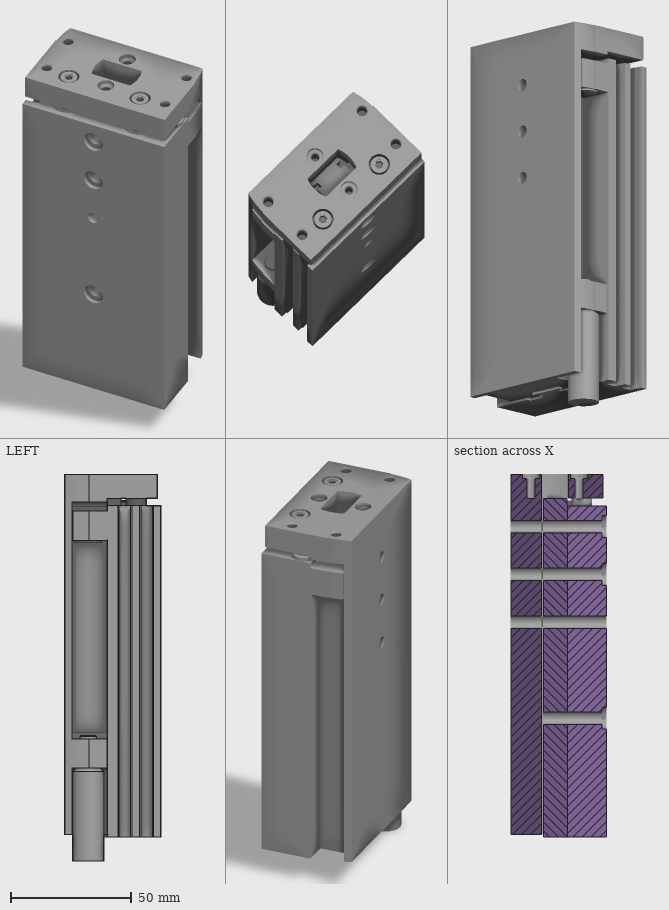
import cadquery as cq
import math

total_height = 160.8
depth = 40.0

housing_half_width = 33.0
housing_bottom = 10.0
housing_top = 147.8
housing_back = 22.2

table_half_width = 32.5
table_bottom = 11.0
table_front = 22.4
back_plate_inner = 37.0
end_plate_front = 1.5
end_plate_underside = total_height - 10.0
step_underside = total_height - 11.5
shoulder_start = 29.9
shoulder_step = 0.3
shoulder_inset = 1.5
shoulder_radius = 38.6

left_wall = -17.5
right_wall = 24.5
pocket_fillet = 2.0
damper_block_fillet = 2.5
stop_block_top = 145.5
stop_block_bottom = 133.3
stop_block_back = 36.5
stop_block_clearance = 1.0
stop_block_corner = 1.0
damper_block_top = 50.8
damper_block_bottom = 38.6

rail_half_width = 7.7
rail_front = 16.5
rail_back = 26.4
rail_groove_front = 22.2
rail_groove_back = 24.6
rail_groove_depth = 2.3
rail_top = end_plate_underside
leg_front = 20.7
leg_half_width = 14.5
leg_clearance = 0.5
leg_top = stop_block_top

window_center = 21.5
window_height = 11.0
window_half_width = 10.0
window_end_radius = 16.0
window_corner_fillet = 0.6

groove_centers = (6.0, 15.0)
groove_mouth_width = 5.8
groove_mouth_depth = 2.5
groove_inner_width = 4.8
groove_depth = 5.8
rib_setback = 0.6

mount_diameter = 5.0
mount_bore_diameter = 8.8
mount_bore_depth = 2.0
mount_pitch = 20.0
first_mount_height = 139.1
bored_mounts = (0, 1, 4)
plain_mounts = (2,)
table_mounts = (0, 1, 2)

corner_hole_x = 27.5
plate_hole_front = 11.6
plate_hole_back = 31.5
corner_hole_diameter = 4.2
corner_mouth_diameter = 5.0
corner_hole_depth = 8.0
center_bore_diameter = 7.0
center_bore_depth = 1.6
center_mouth_diameter = 4.2
center_hole_diameter = 3.2

rod_x = 16.5
rod_y = 10.3
rod_diameter = 8.5
rod_depth = 48.3
rod_gland_diameter = 16.0
rod_gland_depth = 1.3
rod_neck_diameter = 5.0
rod_head_diameter = 7.0
rod_head_height = 5.0
rod_head_recess = 0.3
rod_bore_diameter = 8.8
rod_socket_mouth_diameter = 4.2
rod_socket_mouth_depth = 0.3
rod_socket_width = 3.0
rod_socket_depth = 2.5

damper_x = -26.2
damper_y = 30.2
damper_diameter = 13.0
damper_chamfer = 1.3
damper_thread_diameter = 8.0
damper_tip_diameter = 6.8
damper_tip_height = 1.5
damper_tip_chamfer = 0.4

bumper_x = 27.8
bumper_y = 17.2
bumper_diameter = 10.0
bumper_height = 2.1
bumper_chamfer = 0.5
stop_pad_diameter = 11.3
stop_pad_height = 0.6


def box(x_range, y_range, z_range):
    (x0, x1), (y0, y1), (z0, z1) = x_range, y_range, z_range
    return cq.Workplane("XY").box(x1 - x0, y1 - y0, z1 - z0, centered=False).translate((x0, y0, z0))


def upright(x, y, diameter, bottom, top):
    """Cylinder along Z."""
    return cq.Workplane("XY", origin=(x, y, bottom)).circle(diameter / 2).extrude(top - bottom)


def crosswise(height, diameter, front, back):
    """Cylinder along Y in the middle plane."""
    plane = cq.Workplane("XZ", origin=(0, front, height))
    return plane.circle(diameter / 2).extrude(front - back)


def mount_height(index):
    return first_mount_height - index * mount_pitch


def shouldered_prism(half_width, front, bottom, top):
    """Prism whose sides step in at the shoulder line and curve further in to the back face."""
    chord = math.hypot(shoulder_inset, depth - shoulder_start)
    bulge = shoulder_radius - math.sqrt(shoulder_radius**2 - (chord / 2) ** 2)
    shoulder_x = half_width - shoulder_step
    back_x = shoulder_x - shoulder_inset
    middle_x = shoulder_x - shoulder_inset / 2 + bulge * (depth - shoulder_start) / chord
    middle_y = (shoulder_start + depth) / 2 + bulge * shoulder_inset / chord
    return (
        cq.Workplane("XY", origin=(0, 0, bottom))
        .moveTo(-half_width, front)
        .lineTo(half_width, front)
        .lineTo(half_width, shoulder_start)
        .lineTo(shoulder_x, shoulder_start)
        .threePointArc((middle_x, middle_y), (back_x, depth))
        .lineTo(-back_x, depth)
        .threePointArc((-middle_x, middle_y), (-shoulder_x, shoulder_start))
        .lineTo(-half_width, shoulder_start)
        .close()
        .extrude(top - bottom)
    )


def rail_prism(front, back, bottom, top):
    """T-grooved rail section, with the grooves on both sides."""
    waist = rail_half_width - rail_groove_depth
    half = [
        (rail_half_width, front),
        (rail_half_width, rail_groove_front),
        (waist, rail_groove_front),
        (waist, rail_groove_back),
        (rail_half_width, rail_groove_back),
        (rail_half_width, back),
    ]
    mirrored = [(-x, y) for x, y in reversed(half)]
    return cq.Workplane("XY", origin=(0, 0, bottom)).polyline(half + mirrored).close().extrude(top - bottom)


def side_pocket(wall, outside, bottom, top):
    """Pocket cutter between a wall and the outside, rounded where the wall meets the pocket's top."""
    x_range = (min(wall, outside), max(wall, outside))
    pocket = box(x_range, (table_front - 1.6, back_plate_inner), (bottom, top))
    wall_side = ">X" if wall > outside else "<X"
    return pocket.faces(wall_side).edges(">Z").fillet(pocket_fillet)


def end_window(bottom, top):
    """Window with straight long sides and bulging arc ends."""
    half_height = window_height / 2
    arc_inset = window_end_radius - math.sqrt(window_end_radius**2 - half_height**2)
    corner_x = window_half_width - arc_inset
    return (
        cq.Workplane("XY", origin=(0, window_center, bottom))
        .moveTo(-corner_x, -half_height)
        .lineTo(corner_x, -half_height)
        .threePointArc((window_half_width, 0), (corner_x, half_height))
        .lineTo(-corner_x, half_height)
        .threePointArc((-window_half_width, 0), (-corner_x, -half_height))
        .close()
        .extrude(top - bottom)
        .edges("|Z")
        .fillet(window_corner_fillet)
    )


def mouthed_hole(x, y, diameter, mouth_diameter, bottom, top):
    """Vertical hole whose mouth is chamfered out to a larger diameter."""
    chamfer = (mouth_diameter - diameter) / 2
    hole = upright(x, y, diameter, bottom, top)
    mouth = upright(x, y, mouth_diameter, top - chamfer, top).faces("<Z").chamfer(chamfer * 0.99)
    return hole.union(mouth)


def side_slot(center_y, width, slot_depth):
    """Slot cutter along the full height of the housing's -X face."""
    x_range = (-housing_half_width, -housing_half_width + slot_depth)
    y_range = (center_y - width / 2, center_y + width / 2)
    return box(x_range, y_range, (housing_bottom, housing_top))


def make_housing():
    z_range = (housing_bottom, housing_top)
    body = box((-housing_half_width, housing_half_width), (0, housing_back), z_range)

    block_z = (stop_block_bottom, stop_block_top)
    full_x = (-housing_half_width, housing_half_width)
    middle_x = (left_wall - stop_block_clearance, right_wall + stop_block_clearance)
    blocks = shouldered_prism(housing_half_width, housing_back, *block_z)
    blocks = blocks.cut(box(full_x, (stop_block_back, depth), block_z))
    blocks = blocks.cut(box(middle_x, (housing_back, depth), block_z))
    body = body.union(blocks)
    reach = stop_block_corner / 2
    inner_corners = cq.selectors.BoxSelector(
        (-housing_half_width, housing_back - reach, stop_block_top - reach),
        (housing_half_width, housing_back + reach, stop_block_top + reach),
    )
    body = body.edges(inner_corners).fillet(stop_block_corner)

    body = body.union(
        upright(damper_x, damper_y, stop_pad_diameter, stop_block_bottom - stop_pad_height, stop_block_bottom)
    )
    bumper = upright(bumper_x, bumper_y, bumper_diameter, housing_top, housing_top + bumper_height)
    body = body.union(bumper.faces(">Z").chamfer(bumper_chamfer))

    body = body.cut(box((-rail_half_width, rail_half_width), (rail_front, housing_back), z_range))
    channel_half = leg_half_width + leg_clearance
    body = body.cut(box((-channel_half, channel_half), (leg_front - leg_clearance, housing_back), z_range))

    front_groove, back_groove = groove_centers
    for center_y in groove_centers:
        body = body.cut(side_slot(center_y, groove_mouth_width, groove_mouth_depth))
        body = body.cut(side_slot(center_y, groove_inner_width, groove_depth))
    rib_center = (front_groove + back_groove) / 2
    body = body.cut(side_slot(rib_center, back_groove - front_groove, rib_setback))

    for index in bored_mounts + plain_mounts:
        body = body.cut(crosswise(mount_height(index), mount_diameter, 0, depth / 2))
    for index in bored_mounts:
        body = body.cut(crosswise(mount_height(index), mount_bore_diameter, 0, mount_bore_depth))

    for x in (-rod_x, rod_x):
        body = body.cut(upright(x, rod_y, rod_diameter, housing_top - rod_depth, housing_top))
        body = body.cut(upright(x, rod_y, rod_gland_diameter, housing_top - rod_gland_depth, housing_top))
    return body


def make_rail():
    rail = rail_prism(rail_front, rail_back, housing_bottom, rail_top)
    for index in bored_mounts + plain_mounts:
        rail = rail.cut(crosswise(mount_height(index), mount_diameter, rail_front, rail_back))
    return rail


def make_table():
    table = shouldered_prism(table_half_width, end_plate_front, table_bottom, total_height)
    full_x = (-housing_half_width, housing_half_width)

    table = table.cut(box(full_x, (0, table_front), (0, end_plate_underside)))
    table = table.union(
        box((-leg_half_width, leg_half_width), (leg_front, table_front), (table_bottom, leg_top))
    )

    outside = housing_half_width + 1.6
    upper_pocket = side_pocket(left_wall, -outside, damper_block_top, step_underside)
    table = table.cut(upper_pocket.faces(">X").edges("<Z").fillet(damper_block_fillet))
    table = table.cut(side_pocket(left_wall, -outside, 0, damper_block_bottom))
    table = table.cut(side_pocket(right_wall, outside, 0, step_underside))

    window_back = window_center + window_height / 2
    table = table.cut(rail_prism(0, window_back, 0, leg_top))
    table = table.cut(end_window(leg_top, total_height))

    for y in (plate_hole_front, plate_hole_back):
        for x in (-corner_hole_x, corner_hole_x):
            hole_floor = total_height - corner_hole_depth
            table = table.cut(
                mouthed_hole(x, y, corner_hole_diameter, corner_mouth_diameter, hole_floor, total_height)
            )
        bore_floor = total_height - center_bore_depth
        table = table.cut(upright(0, y, center_bore_diameter, bore_floor, total_height))
        table = table.cut(
            mouthed_hole(0, y, center_hole_diameter, center_mouth_diameter, end_plate_underside, bore_floor)
        )

    for x in (-rod_x, rod_x):
        table = table.cut(upright(x, rod_y, rod_neck_diameter, end_plate_underside, total_height))
        seat = total_height - rod_head_recess - rod_head_height
        table = table.cut(upright(x, rod_y, rod_bore_diameter, seat, total_height))

    for index in table_mounts:
        table = table.cut(crosswise(mount_height(index), mount_diameter, leg_front, depth))

    table = table.cut(upright(damper_x, damper_y, damper_diameter, 0, damper_block_bottom))
    table = table.cut(
        upright(damper_x, damper_y, damper_thread_diameter, damper_block_bottom, damper_block_top)
    )
    return table


def make_rod(x):
    """Piston rod with a neck through the end plate and a socket head in the plate's counterbore."""
    head_top = total_height - rod_head_recess
    head_bottom = head_top - rod_head_height
    shaft = upright(x, rod_y, rod_diameter, housing_top - rod_depth, end_plate_underside)
    neck = upright(x, rod_y, rod_neck_diameter, end_plate_underside, head_bottom)
    head = upright(x, rod_y, rod_head_diameter, head_bottom, head_top)
    socket = (
        cq.Workplane("XY", origin=(x, rod_y, head_top))
        .polygon(6, rod_socket_width, circumscribed=True)
        .extrude(-rod_socket_depth)
    )
    mouth = upright(x, rod_y, rod_socket_mouth_diameter, head_top - rod_socket_mouth_depth, head_top)
    return shaft.union(neck).union(head).cut(socket).cut(mouth)


def make_damper():
    body = upright(damper_x, damper_y, damper_diameter, 0, damper_block_bottom)
    body = body.faces(">Z").chamfer(damper_chamfer)
    thread = upright(damper_x, damper_y, damper_thread_diameter, damper_block_bottom, damper_block_top)
    tip_top = damper_block_top + damper_tip_height
    tip = upright(damper_x, damper_y, damper_tip_diameter, damper_block_top, tip_top)
    tip = tip.faces(">Z").chamfer(damper_tip_chamfer)
    return body.union(thread).union(tip)


housing = make_housing()
rail = make_rail()
table = make_table()
rods = [make_rod(x) for x in (-rod_x, rod_x)]
damper = make_damper()

result = cq.Compound.makeCompound(
    [housing.val(), rail.val(), table.val(), *[rod.val() for rod in rods], damper.val()]
)